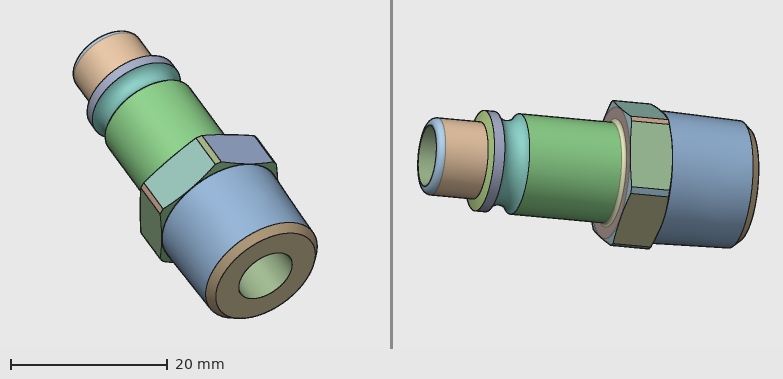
import cadquery as cq
import math

length = 42.0
collar_start = 6.6
collar_rim_start = 6.97
groove_start = 8.35
groove_end = 11.68
hex_start = 24.45
hex_end = 30.1
end_chamfer_length = 1.05
end_chamfer_start = length - end_chamfer_length

bore_diameter = 7.8
nose_diameter = 9.9
body_diameter = 12.9
groove_diameter = 10.85
thread_large_diameter = 17.0
thread_taper = 1 / 16
end_chamfer_height = 0.9

nose_round = 0.92
shoulder_fillet = 0.5

across_flats = 17.0
across_rounded_corners = 19.15
hex_face_diameter = 16.9
front_chamfer_length = 0.2
rear_chamfer_length = 0.4


def revolve_about_x(profile):
    """Turn a closed XY profile around the X axis."""
    return profile.close().revolve(360, (0, 0, 0), (1, 0, 0))


def make_plug():
    """Turned plug: rounded nose, collar, round groove and body with a shoulder fillet."""
    nose_radius = nose_diameter / 2
    body_radius = body_diameter / 2
    diagonal = math.sqrt(0.5)
    nose_arc_middle = (
        nose_round * (1 - diagonal),
        nose_radius - nose_round * (1 - diagonal),
    )
    fillet_arc_middle = (
        hex_start - shoulder_fillet * (1 - diagonal),
        body_radius + shoulder_fillet * (1 - diagonal),
    )
    groove_bottom = ((groove_start + groove_end) / 2, groove_diameter / 2)
    profile = (
        cq.Workplane("XY")
        .lineTo(0, nose_radius - nose_round)
        .threePointArc(nose_arc_middle, (nose_round, nose_radius))
        .lineTo(collar_start, nose_radius)
        .lineTo(collar_rim_start, body_radius)
        .lineTo(groove_start, body_radius)
        .threePointArc(groove_bottom, (groove_end, body_radius))
        .lineTo(hex_start - shoulder_fillet, body_radius)
        .threePointArc(fillet_arc_middle, (hex_start, body_radius + shoulder_fillet))
        .lineTo(hex_end, body_radius + shoulder_fillet)
        .lineTo(hex_end, 0)
    )
    return revolve_about_x(profile)


def make_hexagon():
    """Hexagon with corners on +Z and -Z, trimmed by a turned blank with conical faces."""
    sharp_corner_diameter = across_flats / math.cos(math.pi / 6)
    prism = (
        cq.Workplane("YZ", origin=(hex_start, 0, 0))
        .transformed(rotate=(0, 0, 90))
        .polygon(6, sharp_corner_diameter)
        .extrude(hex_end - hex_start)
    )
    face_radius = hex_face_diameter / 2
    corner_radius = across_rounded_corners / 2
    blank = (
        cq.Workplane("XY")
        .moveTo(hex_start, 0)
        .lineTo(hex_start, face_radius)
        .lineTo(hex_start + front_chamfer_length, corner_radius)
        .lineTo(hex_end - rear_chamfer_length, corner_radius)
        .lineTo(hex_end, face_radius)
        .lineTo(hex_end, 0)
    )
    return prism.intersect(revolve_about_x(blank))


def make_thread_end():
    """Plain tapered thread envelope with a conical lead-in at the +X end."""
    large_radius = thread_large_diameter / 2
    small_radius = large_radius - thread_taper * (end_chamfer_start - hex_end) / 2
    profile = (
        cq.Workplane("XY")
        .moveTo(hex_end, 0)
        .lineTo(hex_end, large_radius)
        .lineTo(end_chamfer_start, small_radius)
        .lineTo(length, small_radius - end_chamfer_height)
        .lineTo(length, 0)
    )
    return revolve_about_x(profile)


bore = cq.Workplane("YZ").circle(bore_diameter / 2).extrude(length)

result = make_plug().union(make_hexagon()).union(make_thread_end()).cut(bore)